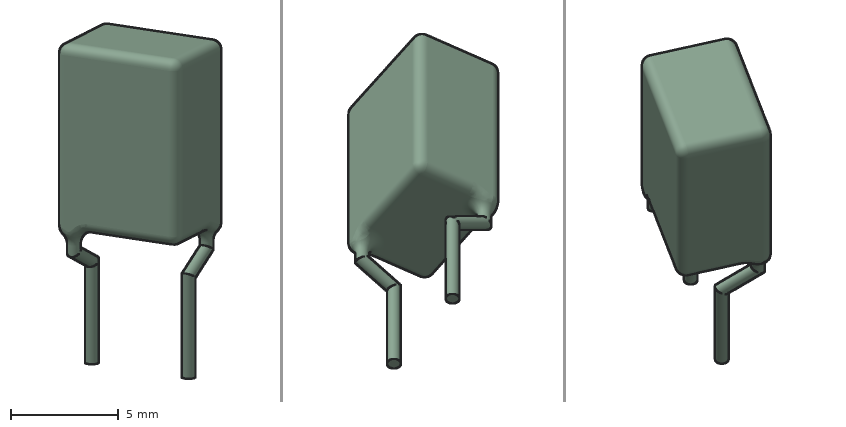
import cadquery as cq
import math

body_width = 6.5
body_depth = 4.6
body_height = 9.0
edge_radius = 0.5

total_height = 15.9
lead_diameter = 0.65
lead_radius = lead_diameter / 2
lead_offset_x = 2.56
lead_offset_y = 1.75
upper_bend_z = 5.82
lower_bend_z = 4.9

flare_radius = 0.72

body_bottom_z = total_height - body_height
flare_bottom_z = body_bottom_z - flare_radius


def box_from(bottom_z):
    """Block with the body's footprint from bottom_z up to the top of the part."""
    return cq.Workplane("XY", origin=(0, 0, bottom_z)).box(
        body_width, body_depth, total_height - bottom_z, centered=(True, True, False)
    )


def make_flare(x, y):
    """Flare with a concave quarter-round side, tangent to the lead and to the underside."""
    outer_radius = lead_radius + flare_radius
    arc_reach = flare_radius * math.sqrt(0.5)
    profile = (
        cq.Workplane("XZ")
        .moveTo(0, flare_bottom_z)
        .lineTo(lead_radius, flare_bottom_z)
        .threePointArc(
            (outer_radius - arc_reach, flare_bottom_z + arc_reach),
            (outer_radius, body_bottom_z),
        )
        .lineTo(0, body_bottom_z)
        .close()
    )
    return profile.revolve(360, (0, 0, 0), (0, 1, 0)).translate((x, y, 0))


def make_lead(x, y):
    """Wire that leaves the body at (x, y) and is cranked with mitred bends to y = 0."""
    path = cq.Workplane("YZ", origin=(x, 0, 0)).polyline(
        [(0, 0), (0, lower_bend_z), (y, upper_bend_z), (y, body_bottom_z)]
    )
    return cq.Workplane("XY", origin=(x, 0, 0)).circle(lead_radius).sweep(path, transition="right")


lead_places = [(-lead_offset_x, -lead_offset_y), (lead_offset_x, lead_offset_y)]

body = box_from(body_bottom_z)
for place in lead_places:
    body = body.union(make_flare(*place).intersect(box_from(flare_bottom_z)))

side_faces = body.faces("<X or >X or <Y or >Y")
body = body.newObject(side_faces.edges().vals()).fillet(edge_radius)

result = body
for place in lead_places:
    result = result.union(make_lead(*place))